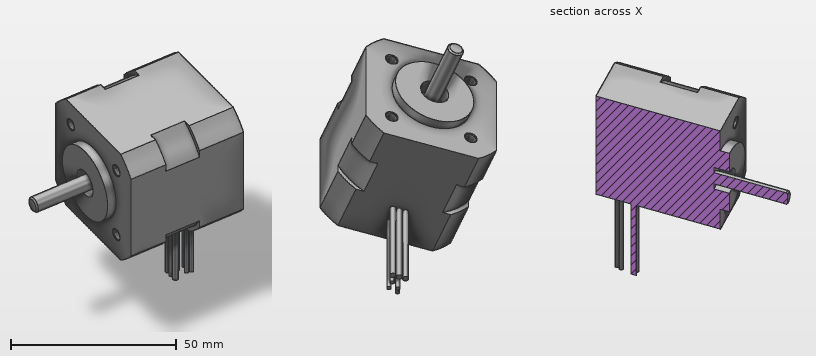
import cadquery as cq
import math


BODY_WIDTH = 42.0
BODY_LENGTH = 40.4
CORNER_FLAT_WIDTH = 30.45
WAIST_FLAT_WIDTH = 25.3
WAIST_FRONT = 12.5
WAIST_LENGTH = 12.05

PILOT_DIAMETER = 25.1
PILOT_HEIGHT = 3.0
WELL_DIAMETER = 9.0
WELL_DEPTH = 5.0
SHAFT_DIAMETER = 5.0
SHAFT_TIP = 21.9
SHAFT_CHAMFER = 0.5

HOLE_SPACING = 25.4
HOLE_DIAMETER = 3.5
HOLE_MOUTH_DIAMETER = 4.0
HOLE_DEPTH = 4.5
DRILL_POINT_ANGLE = 118.0

OVERALL_HEIGHT = 71.8
WIRE_LENGTH = OVERALL_HEIGHT - BODY_WIDTH
WIRE_EMBED = 0.7
THICK_WIRE_DIAMETER = 1.8
THICK_WIRE_PITCH = 2.0
THICK_ROW_Y = BODY_LENGTH - 12.3
THIN_WIRE_DIAMETER = 1.3
THIN_WIRE_POSITIONS = [
    (-1.4, BODY_LENGTH - 7.0),
    (-1.2, BODY_LENGTH - 9.5),
    (1.65, BODY_LENGTH - 6.25),
    (1.2, BODY_LENGTH - 7.75),
]


def cylinder_y(diameter, start, length):
    """Cylinder on the motor axis, running from Y = start towards +Y."""
    return cq.Workplane("XZ", origin=(0, start, 0)).circle(diameter / 2).extrude(-length)


def body_section(flat_width, start, length):
    """Square bar whose corners are rounded by an arc about the motor axis."""
    corner_radius = math.hypot(BODY_WIDTH / 2, flat_width / 2)
    square = cq.Workplane("XZ", origin=(0, start, 0)).rect(BODY_WIDTH, BODY_WIDTH).extrude(-length)
    return square.intersect(cylinder_y(2 * corner_radius, start, length))


def make_body():
    waist_back = WAIST_FRONT + WAIST_LENGTH
    front = body_section(CORNER_FLAT_WIDTH, 0, WAIST_FRONT)
    waist = body_section(WAIST_FLAT_WIDTH, WAIST_FRONT, WAIST_LENGTH)
    back = body_section(CORNER_FLAT_WIDTH, waist_back, BODY_LENGTH - waist_back)
    return front.union(waist).union(back)


def make_mounting_hole():
    """Blind drilled hole with a 45 degree mouth chamfer, revolved about the Y axis."""
    radius = HOLE_DIAMETER / 2
    mouth_radius = HOLE_MOUTH_DIAMETER / 2
    point_length = radius / math.tan(math.radians(DRILL_POINT_ANGLE / 2))
    profile = [
        (0, 0),
        (mouth_radius, 0),
        (radius, mouth_radius - radius),
        (radius, HOLE_DEPTH),
        (0, HOLE_DEPTH + point_length),
    ]
    return cq.Workplane("XY").polyline(profile).close().revolve(360, (0, 0), (0, 1))


def make_wires(diameter, positions):
    underside = -BODY_WIDTH / 2
    plane = cq.Workplane("XY", origin=(0, 0, underside + WIRE_EMBED))
    return plane.pushPoints(positions).circle(diameter / 2).extrude(-WIRE_LENGTH - WIRE_EMBED)


motor = make_body().union(cylinder_y(PILOT_DIAMETER, -PILOT_HEIGHT, PILOT_HEIGHT))
motor = motor.cut(cylinder_y(WELL_DIAMETER, -PILOT_HEIGHT, WELL_DEPTH))

for x_side in (-1, 1):
    for z_side in (-1, 1):
        centre = (x_side * HOLE_SPACING / 2, 0, z_side * HOLE_SPACING / 2)
        motor = motor.cut(make_mounting_hole().translate(centre))

shaft = cylinder_y(SHAFT_DIAMETER, -SHAFT_TIP, SHAFT_TIP + WELL_DEPTH)
motor = motor.union(shaft.faces("<Y").chamfer(SHAFT_CHAMFER))

thick_wire_positions = [(column * THICK_WIRE_PITCH, THICK_ROW_Y) for column in (-1, 0, 1)]
motor = motor.union(make_wires(THICK_WIRE_DIAMETER, thick_wire_positions))
result = motor.union(make_wires(THIN_WIRE_DIAMETER, THIN_WIRE_POSITIONS))